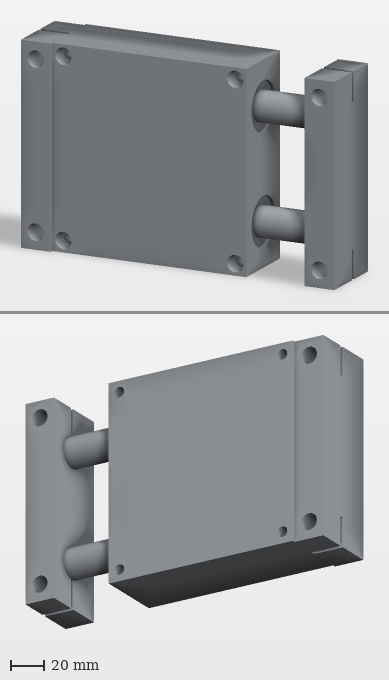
import cadquery as cq


total_length = 210
height = 130.0
thickness = 46.0
housing_offset = 2.0

housing_length = height
rod_gap = 40.0
block_length = (total_length - housing_length - rod_gap) / 2
housing_start = block_length
housing_center_x = housing_start + housing_length / 2
block_starts = (0, total_length - block_length)
rod_y = housing_offset + thickness / 2

rod_diameter = 20.0
rod_spacing = 72.0
rod_heights = (-rod_spacing / 2, rod_spacing / 2)
seat_diameter = 32.0
seat_depth = 2.0

block_hole_diameter = 11.0
block_hole_spacing = 108.0
slot_width = 3.0

screw_pitch = 115.0
screw_diameter = 6.7
screw_head_diameter = 11.0
screw_head_depth = 11.0


def box(start_x, start_y, length, depth, low_z, high_z):
    """Box from its low X and Y corner, between two heights."""
    solid = cq.Workplane("XY").box(length, depth, high_z - low_z, centered=False)
    return solid.translate((start_x, start_y, low_z))


def cylinder_x(start_x, length, diameter, z):
    """Cylinder along X on a rod axis."""
    return cq.Workplane("YZ", origin=(start_x, rod_y, z)).circle(diameter / 2).extrude(length)


def make_housing():
    """Square housing with counterbored corner holes and a bearing seat at each rod opening."""
    housing = box(housing_start, housing_offset, housing_length, thickness, -height / 2, height / 2)
    housing = (
        housing.faces("<Y")
        .workplane(origin=(housing_center_x, housing_offset, 0))
        .rect(screw_pitch, screw_pitch, forConstruction=True)
        .vertices()
        .cboreHole(screw_diameter, screw_head_diameter, screw_head_depth)
    )
    housing_end = housing_start + housing_length
    for z in rod_heights:
        for seat_start in (housing_start, housing_end - seat_depth):
            housing = housing.cut(cylinder_x(seat_start, seat_depth, seat_diameter, z))
    return housing


def make_clamp_block(start_x):
    """Clamp block with two through holes and a slot from each end to its nearest rod."""
    block = box(start_x, 0, block_length, thickness, -height / 2, height / 2)
    block = (
        block.faces("<Y")
        .workplane(origin=(start_x + block_length / 2, 0, 0))
        .rarray(2, block_hole_spacing, 1, 2)
        .hole(block_hole_diameter)
    )
    slot_y = rod_y - slot_width / 2
    lower_rod, upper_rod = rod_heights
    block = block.cut(box(start_x, slot_y, block_length, slot_width, upper_rod, height / 2))
    return block.cut(box(start_x, slot_y, block_length, slot_width, -height / 2, lower_rod))


result = make_housing()
for block_start in block_starts:
    result = result.union(make_clamp_block(block_start))
for rod_z in rod_heights:
    result = result.union(cylinder_x(0, total_length, rod_diameter, rod_z))